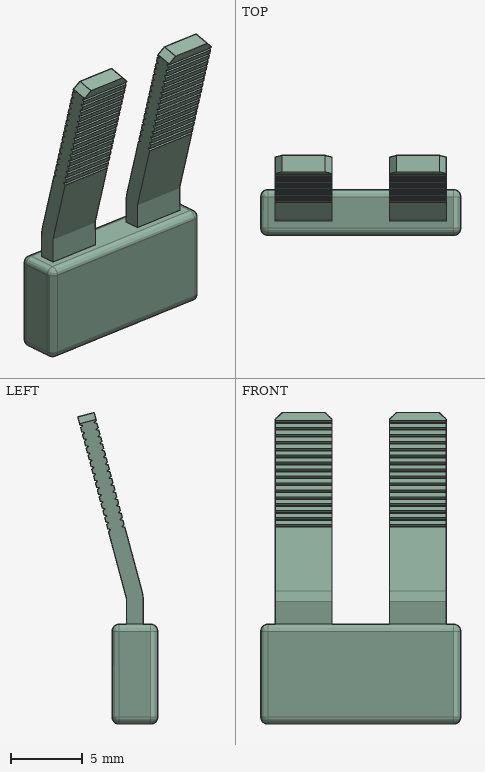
import cadquery as cq
import math

BODY_LENGTH = 14.0
BODY_DEPTH = 3.2
BODY_HEIGHT = 7.0
BODY_FILLET = 0.5

END_MARGIN = 1.0
BLADE_WIDTH = (BODY_LENGTH - 2 * END_MARGIN) / 3
BLADE_SPACING = 2 * BLADE_WIDTH
BLADE_THICKNESS = 1.2
TOTAL_HEIGHT = 21.8
LEAN_DEGREES = 15
STEM_HEIGHT = 1.57
BEND_RADIUS = 2.85
TIP_CHAMFER = 0.5

GROOVE_COUNT = 16
GROOVE_PITCH = 0.5
GROOVE_WIDTH = 0.2
GROOVE_DEPTH = 0.17
GROOVE_OFFSET = 0.09

LEAN = math.radians(LEAN_DEGREES)
HALF_THICKNESS = BLADE_THICKNESS / 2
CORNER_Z = BODY_HEIGHT + STEM_HEIGHT + BEND_RADIUS * math.tan(LEAN / 2)
LEANING_LENGTH = (TOTAL_HEIGHT - CORNER_Z) / math.cos(LEAN)


def leaning_point(along, inward):
    """Point (Y, Z) 'along' the leaning front face from the bend corner and 'inward' towards the back."""
    y = -HALF_THICKNESS + along * math.sin(LEAN) + inward * math.cos(LEAN)
    z = CORNER_Z + along * math.cos(LEAN) - inward * math.sin(LEAN)
    return (y, z)


def extrude_across(profile):
    """Extrude a closed (Y, Z) outline over the blade width, centred on X = 0."""
    return cq.Workplane("YZ").polyline(profile).close().extrude(BLADE_WIDTH / 2, both=True)


def make_body():
    body = cq.Workplane("XY").box(BODY_LENGTH, BODY_DEPTH, BODY_HEIGHT, centered=(True, True, False))
    return body.edges().fillet(BODY_FILLET)


def make_groove(top, face, direction):
    """V cutter in the face at depth "face", opening at "top"; "direction" +1 cuts backwards, -1 forwards."""
    return extrude_across([
        leaning_point(top, face),
        leaning_point(top - GROOVE_WIDTH / 2, face + direction * GROOVE_DEPTH),
        leaning_point(top - GROOVE_WIDTH, face),
    ])


def make_blade():
    """One blade centred on X = 0, rooted inside the body."""
    root_z = BODY_HEIGHT / 2
    back_corner_z = CORNER_Z - BLADE_THICKNESS * math.tan(LEAN / 2)
    blade = extrude_across([
        (-HALF_THICKNESS, root_z),
        leaning_point(0, 0),
        leaning_point(LEANING_LENGTH, 0),
        leaning_point(LEANING_LENGTH, BLADE_THICKNESS),
        (HALF_THICKNESS, back_corner_z),
        (HALF_THICKNESS, root_z),
    ])

    front_corner = cq.selectors.NearestToPointSelector((0, -HALF_THICKNESS, CORNER_Z))
    blade = blade.edges(front_corner).fillet(BEND_RADIUS)

    blade = blade.faces(">Z").edges("not |X").chamfer(TIP_CHAMFER)

    first_top = LEANING_LENGTH - TIP_CHAMFER - GROOVE_OFFSET
    for index in range(GROOVE_COUNT):
        top = first_top - index * GROOVE_PITCH
        blade = blade.cut(make_groove(top, 0, 1))
        blade = blade.cut(make_groove(top, BLADE_THICKNESS, -1))
    return blade


result = make_body()
for side in (-1, 1):
    result = result.union(make_blade().translate((side * BLADE_SPACING / 2, 0, 0)))